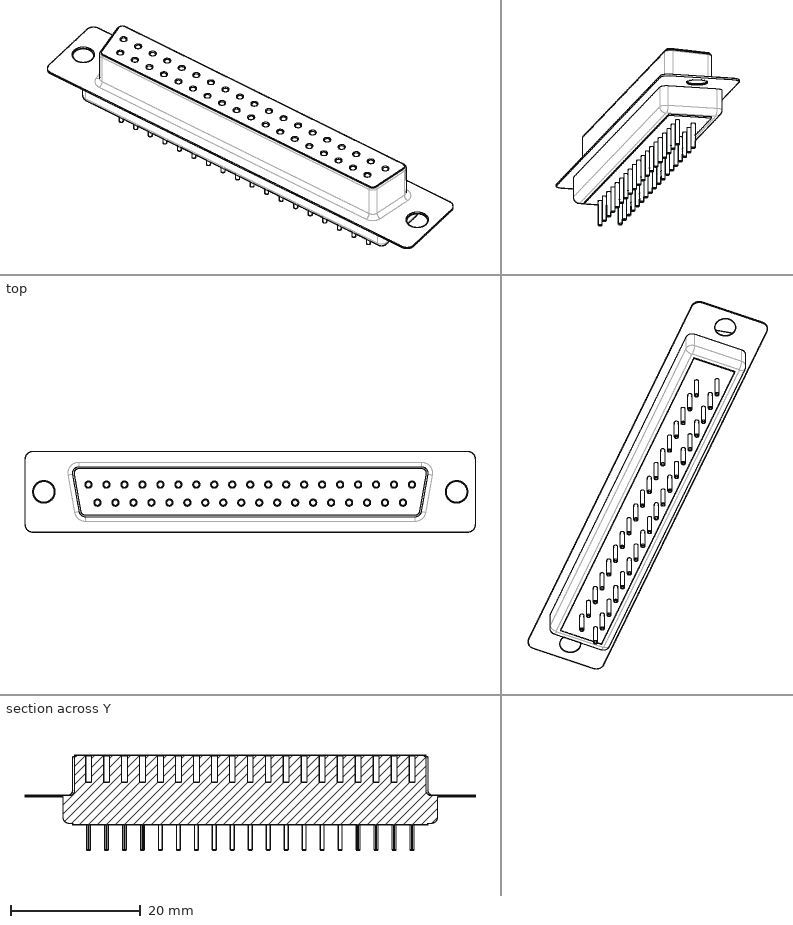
import cadquery as cq
import math

PLATE_LENGTH = 69.4
PLATE_WIDTH = 12.5
PLATE_THICKNESS = 0.3
PLATE_BOTTOM = 8.25
PLATE_CORNER_RADIUS = 1.25
MOUNT_HOLE_DIAMETER = 3.2
MOUNT_HOLE_SPACING = 63.6
MOUNT_HOLE_CHAMFER = 0.15

TOTAL_HEIGHT = 14.7
SHROUD_MEAN_LENGTH = 53.8
SHROUD_WIDTH = 7.7
SHROUD_SIDE_ANGLE = 10.0
SHROUD_CORNER_RADIUS = 1.0
SHROUD_ROOT_FILLET = 0.7
SHROUD_RIM_FILLET = 0.2
INSERT_RISE = 0.2
INSERT_INSET = 0.3

HOUSING_LENGTH = 57.75
HOUSING_WIDTH = 9.85
HOUSING_BOTTOM = 4.15
HOUSING_CORNER_RADIUS = 1.05
HOUSING_BOTTOM_FILLET = 1.0
BASE_BOTTOM = 3.95
BASE_INSET = 1.5

LONG_ROW_COUNT = 19
LONG_ROW_SPAN = 49.8
PIN_ROW_SPACING = 2.85
PIN_DIAMETER = 0.64
PIN_TIP_CHAMFER = 0.15
SOCKET_DIAMETER = 0.8
SOCKET_DEPTH = 4.15
SOCKET_CHAMFER = 0.15
SOCKET_ROW_SPACING = 2.8
SOCKET_OFFSET_Y = -0.3

PLATE_TOP = PLATE_BOTTOM + PLATE_THICKNESS
CONTACT_PITCH = LONG_ROW_SPAN / (LONG_ROW_COUNT - 1)


def contact_points(row_spacing):
    """Centres of the two staggered contact rows."""
    rows = ((LONG_ROW_COUNT, row_spacing / 2), (LONG_ROW_COUNT - 1, -row_spacing / 2))
    return [
        ((index - (count - 1) / 2) * CONTACT_PITCH, y)
        for count, y in rows
        for index in range(count)
    ]


def make_plate():
    return (
        cq.Workplane("XY", origin=(0, 0, PLATE_BOTTOM))
        .rect(PLATE_LENGTH, PLATE_WIDTH)
        .extrude(PLATE_THICKNESS)
        .edges("|Z")
        .fillet(PLATE_CORNER_RADIUS)
    )


def make_d_block(inset, top):
    """Trapezoidal block, longer on its +Y side, with all its sides moved inwards by inset."""
    half_width = SHROUD_WIDTH / 2 - inset
    side_shift = half_width * math.tan(math.radians(SHROUD_SIDE_ANGLE))
    mean_half = SHROUD_MEAN_LENGTH / 2 - inset / math.cos(math.radians(SHROUD_SIDE_ANGLE))
    back_half = mean_half + side_shift
    front_half = mean_half - side_shift
    outline = [
        (-back_half, half_width),
        (back_half, half_width),
        (front_half, -half_width),
        (-front_half, -half_width),
    ]
    return (
        cq.Workplane("XY", origin=(0, 0, PLATE_BOTTOM))
        .polyline(outline)
        .close()
        .extrude(top - PLATE_BOTTOM)
        .edges("|Z")
        .fillet(SHROUD_CORNER_RADIUS - inset)
    )


def make_shroud():
    """Shroud with a rounded rim, around an insert that stands slightly above it."""
    shroud = make_d_block(0, TOTAL_HEIGHT - INSERT_RISE)
    shroud = shroud.faces(">Z").edges().fillet(SHROUD_RIM_FILLET)
    return shroud.union(make_d_block(INSERT_INSET, TOTAL_HEIGHT))


def round_shroud_root(body):
    """Fillet the inside corner where the shroud meets the plate."""
    reach = 0.1
    half_length = MOUNT_HOLE_SPACING / 2
    half_width = SHROUD_WIDTH / 2 + reach
    root_edges = cq.selectors.BoxSelector(
        (-half_length, -half_width, PLATE_TOP - reach),
        (half_length, half_width, PLATE_TOP + reach),
    )
    return body.edges(root_edges).fillet(SHROUD_ROOT_FILLET)


def make_housing():
    """Rounded housing with a thin rectangular base standing out of its underside."""
    base = (
        cq.Workplane("XY", origin=(0, 0, BASE_BOTTOM))
        .rect(HOUSING_LENGTH - 2 * BASE_INSET, HOUSING_WIDTH - 2 * BASE_INSET)
        .extrude(PLATE_BOTTOM - BASE_BOTTOM)
    )
    housing = (
        cq.Workplane("XY", origin=(0, 0, HOUSING_BOTTOM))
        .rect(HOUSING_LENGTH, HOUSING_WIDTH)
        .extrude(PLATE_BOTTOM - HOUSING_BOTTOM)
        .edges("|Z")
        .fillet(HOUSING_CORNER_RADIUS)
        .faces("<Z")
        .edges()
        .fillet(HOUSING_BOTTOM_FILLET)
    )
    return housing.union(base)


def make_pins():
    return (
        cq.Workplane("XY")
        .pushPoints(contact_points(PIN_ROW_SPACING))
        .circle(PIN_DIAMETER / 2)
        .extrude(BASE_BOTTOM)
        .faces("<Z")
        .edges()
        .chamfer(PIN_TIP_CHAMFER)
    )


def make_hole_cutters(points, diameter, chamfer, bottom, top):
    """Solids that cut round holes with a chamfered upper mouth."""
    radius = diameter / 2
    profile = [
        (0, bottom),
        (radius, bottom),
        (radius, top - chamfer),
        (radius + chamfer, top),
        (0, top),
    ]
    cutter = cq.Workplane("XZ").polyline(profile).close().revolve(360, (0, 0, 0), (0, 1, 0)).val()
    return cq.Workplane("XY").pushPoints(points).eachpoint(lambda place: cutter.moved(place))


def make_sockets():
    points = [(x, y + SOCKET_OFFSET_Y) for x, y in contact_points(SOCKET_ROW_SPACING)]
    bottom = TOTAL_HEIGHT - SOCKET_DEPTH
    return make_hole_cutters(points, SOCKET_DIAMETER, SOCKET_CHAMFER, bottom, TOTAL_HEIGHT)


def make_mount_holes():
    points = [(-MOUNT_HOLE_SPACING / 2, 0), (MOUNT_HOLE_SPACING / 2, 0)]
    return make_hole_cutters(
        points, MOUNT_HOLE_DIAMETER, MOUNT_HOLE_CHAMFER, PLATE_BOTTOM, PLATE_TOP
    )


shell = round_shroud_root(make_plate().union(make_shroud()))
result = (
    shell.union(make_housing())
    .union(make_pins())
    .cut(make_sockets())
    .cut(make_mount_holes())
)